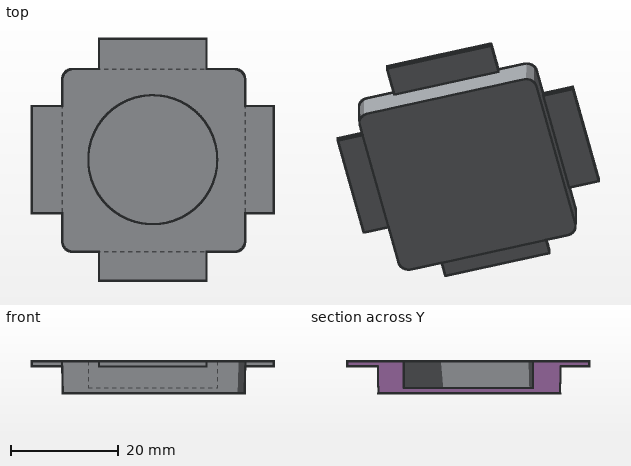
import cadquery as cq

overall_span = 45.0
overall_height = 6.0
plate_thickness = 1.0
tab_width = 20.0
body_side = 34.0
base_side = 33.85
corner_radius = 2.0
pocket_diameter = 24.0
pocket_depth = 5.0

body_offset_x = 0.2
body_offset_y = -0.15

plate_bottom = overall_height - plate_thickness


def rounded_square(side, height):
    """Rounded square outline of the body at the given height."""
    outline = cq.Sketch().rect(side, side).vertices().fillet(corner_radius)
    return outline.moved(cq.Location(cq.Vector(body_offset_x, body_offset_y, height)))


def make_body():
    """Block tapering slightly from the plate down to the base."""
    lower = cq.Workplane().placeSketch(
        rounded_square(base_side, 0), rounded_square(body_side, plate_bottom)
    ).loft()
    upper = cq.Workplane().placeSketch(rounded_square(body_side, plate_bottom)).extrude(plate_thickness)
    return lower.union(upper)


def make_tabs():
    """Two crossing strips whose ends stand out as four thin tabs."""
    plane = cq.Workplane().workplane(offset=plate_bottom)
    strip_x = plane.rect(overall_span, tab_width).extrude(plate_thickness)
    strip_y = plane.rect(tab_width, overall_span).extrude(plate_thickness)
    return strip_x.union(strip_y)


def make_pocket():
    """Round blind recess opening at the top face."""
    floor = overall_height - pocket_depth
    return cq.Workplane().workplane(offset=floor).circle(pocket_diameter / 2).extrude(pocket_depth)


result = make_body().union(make_tabs()).cut(make_pocket())